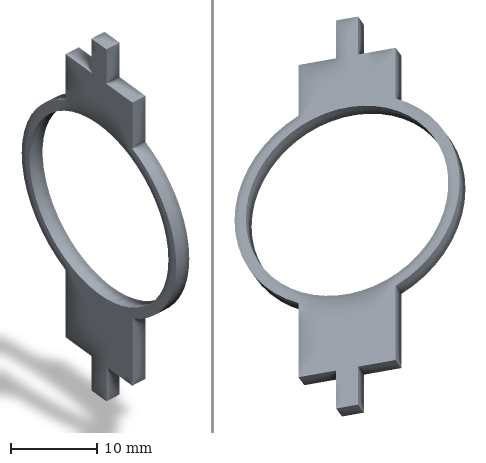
import cadquery as cq

thickness = 2.0
bore_diameter = 25.0
ring_diameter = 27.8

block_width = 12.0
tab_width = 2.7
tab_length = 5.08
upper_block_reach = 19.33
lower_block_reach = 22.47


def disc(diameter):
    """Disc of the part's thickness, centred on the origin, axis along Y."""
    return cq.Workplane("XZ").circle(diameter / 2).extrude(thickness / 2, both=True)


def bar(width, height, direction):
    """Bar from the ring centre out to the given height, up (+1) or down (-1)."""
    return (
        cq.Workplane("XY")
        .box(width, thickness, height)
        .translate((0, 0, direction * height / 2))
    )


def arm(block_reach, direction):
    """Block with its end tab; the part inside the ring is removed by the bore."""
    block = bar(block_width, block_reach, direction)
    tab = bar(tab_width, block_reach + tab_length, direction)
    return block.union(tab)


upper_arm = arm(upper_block_reach, 1)
lower_arm = arm(lower_block_reach, -1)
body = disc(ring_diameter).union(upper_arm).union(lower_arm)
result = body.cut(disc(bore_diameter))